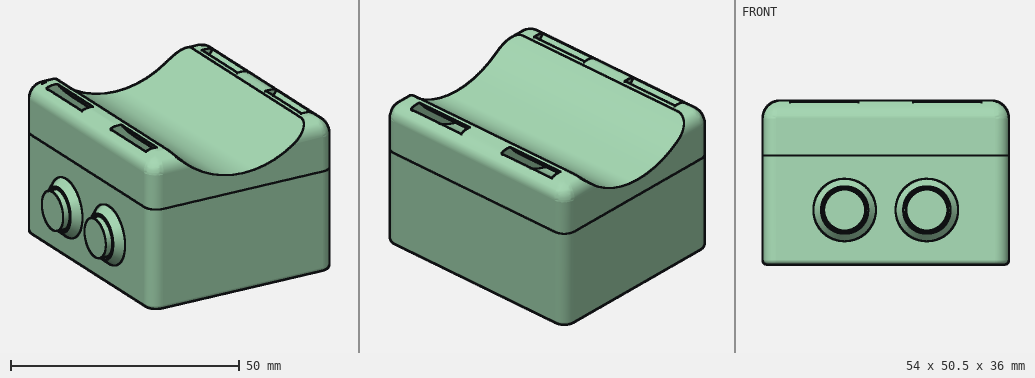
import cadquery as cq

length = 54.0
depth = 47.0
height = 36.0
lid_height = 12.05
corner_radius = 3.0
top_radius = 4.0
bottom_radius = 1.0
seam = height - lid_height

saddle_radius = 22.5
saddle_sag = 8.0
saddle_axis = height - saddle_sag + saddle_radius

slot_cover = 1.0
slot_thickness = 2.5
slot_width = 15.0
slot_offset = length / 4
slot_inner_radius = saddle_radius + slot_cover
slot_outer_radius = slot_inner_radius + slot_thickness

button_diameter = 9.0
bore_diameter = 9.4
button_length = 3.5
button_offset = length / 6
button_height = seam / 2
collar_base_diameter = 13.7
collar_tip_diameter = 10.35
collar_length = 2.0
button_places = [(-button_offset, button_height), (button_offset, button_height)]


def block(bottom, block_height):
    """Sharp rectangular block centred on the Z axis."""
    return cq.Workplane("XY", origin=(0, 0, bottom)).rect(length, depth).extrude(block_height)


def cylinder_along_x(radius, width, center_x):
    """Cylinder on the saddle axis."""
    return (
        cq.Workplane("YZ", origin=(center_x - width / 2, 0, saddle_axis))
        .circle(radius)
        .extrude(width)
    )


def strap_slot(center_x):
    """Curved tunnel running under the saddle from the front rim to the back rim."""
    outer = cylinder_along_x(slot_outer_radius, slot_width, center_x)
    inner = cylinder_along_x(slot_inner_radius, slot_width, center_x)
    return outer.cut(inner)


def make_lid():
    """Rounded lid with the saddle and two strap slots cut into it."""
    lid = block(seam, lid_height)
    lid = lid.faces(">Z").edges().fillet(top_radius)
    lid = lid.edges("|Z").fillet(corner_radius)
    lid = lid.cut(cylinder_along_x(saddle_radius, length, 0))
    for side in (-1, 1):
        lid = lid.cut(strap_slot(side * slot_offset))
    return lid


def front_wall(place):
    """Workplane on the front wall, facing -Y, with its origin at a button centre."""
    x, z = place
    return cq.Workplane("XZ", origin=(x, -depth / 2, z))


def collar(place):
    """Conical collar with a bore that stops at the wall."""
    cone = (
        front_wall(place)
        .circle(collar_base_diameter / 2)
        .workplane(offset=collar_length)
        .circle(collar_tip_diameter / 2)
        .loft()
    )
    bore = front_wall(place).circle(bore_diameter / 2).extrude(collar_length)
    return cone.cut(bore)


def make_housing():
    """Lower case with two bored conical collars on its front wall."""
    housing = block(0, seam)
    housing = housing.edges("|Z").fillet(corner_radius)
    housing = housing.faces("<Z").edges().fillet(bottom_radius)
    for place in button_places:
        housing = housing.union(collar(place))
    return housing


def make_button(place):
    """Round button standing on the wall, inside the bore of its collar."""
    return front_wall(place).circle(button_diameter / 2).extrude(button_length)


housing = make_housing()
lid = make_lid()
buttons = [make_button(place) for place in button_places]

result = cq.Compound.makeCompound([housing.val(), lid.val(), *[button.val() for button in buttons]])